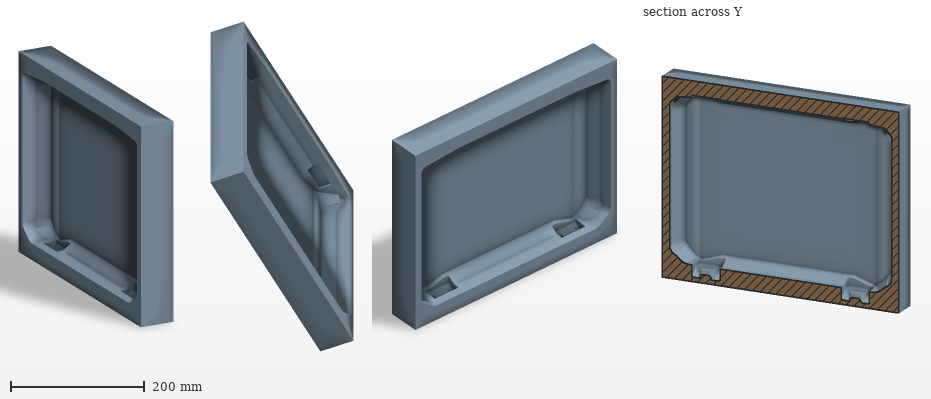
import cadquery as cq
import math

WIDTH = 393.5
THICKNESS = 54.5
HEIGHT = 317.0
FRONT_Y = -THICKNESS / 2

MOUTH_HALF_WIDTH = 184.5
MOUTH_BOTTOM = -132.2
MOUTH_TOP = 135.0
MOUTH_TOP_HALF_FLAT = 114.0
MOUTH_TOP_SHOULDER = 129.0
MOUTH_CORNER_Z = -113.7
MOUTH_BOTTOM_HALF_FLAT = 159.8
MOUTH_DRAFT = 3.0
BOTTOM_FILLET = 19.5
LOWER_SIDE_FILLET = 12.0
UPPER_SIDE_FILLET = 8.0

FLOOR_DEPTH = 42.5
BANK_ANGLE = 34.0
BANK_RISE = math.tan(math.radians(BANK_ANGLE))
MID_Z = 0.8
FLOOR_HALF_WIDTH = 170.0
FLOOR_SIDE_HALF_HEIGHT = 105.5
FLOOR_THROAT_X = 144.5
FLOOR_THROAT_HALF_HEIGHT = 130.5
FLOOR_BANK_X = 110.0
FLOOR_BANK_HALF_HEIGHT = 119.5
FLOOR_CORNER_FILLET = 6.5
FLOOR_EDGE_FILLET = 1.0
LEDGE_FILLET = 2.5

RIDGE_FOOT_X = 146.0
RIDGE_FOOT_BLEND = 1.0
RIDGE_SHOULDER_X = 151.5
RIDGE_SHOULDER_DEPTH = 40.5
RIDGE_CREST_X = 156.5
RIDGE_CREST_DEPTH = 39.7
RIDGE_OUTER_X = 173.0
RIDGE_OUTER_DEPTH = 41.5

WEDGE_HINGE = 3.5
WEDGE_REACH = 15.7
WEDGE_THICKNESS = 7.0
WEDGE_START = 6.0
WEDGE_END = 32.3

NOTCH_INNER_X = 100.7
NOTCH_OUTER_X = 147.0
NOTCH_FRONT_DEPTH = 14.0
LOWER_NOTCH_DEPTH = 37.8
UPPER_NOTCH_DEPTH = 34.0
NOTCH_REACH = 15.7
NOTCH_CORNER_FILLET = 2.5

POCKET_BACK_Z = -135.8
BOSS_INNER_X = 111.7
BOSS_OUTER_X = 137.0
BOSS_FRONT_DEPTH = 16.5
BOSS_BACK_DEPTH = 33.0
BOSS_TOP_Z = -139.0
BOSS_CORNER_RADIUS = 7.0
BOSS_DRAFT = 10.0


def plane_at(depth):
    """XZ workplane facing the opening, at a depth below the front face."""
    return cq.Workplane("XZ", origin=(0, FRONT_Y + depth, 0))


def both_sides(shape):
    """Join a shape on the +X side with its mirror image."""
    return shape.union(shape.mirror("YZ"))


def mirrored_loop(right_side):
    """Close a right-hand chain of (x, z) points with its mirror image."""
    left_side = [(-x, z) for x, z in reversed(right_side)]
    return right_side + left_side + right_side[:1]


def round_corners(sketch, z, radius):
    """Fillet the sketch corners that lie at height z."""
    level = cq.selectors.BoxSelector((-WIDTH, z - 0.5, -4), (WIDTH, z + 0.5, 4))
    return sketch.vertices(level).fillet(radius).reset()


def mouth_prism():
    """Drafted space inside the mouth outline, from the front face down to the floor."""
    outline = mirrored_loop([
        (MOUTH_BOTTOM_HALF_FLAT, MOUTH_BOTTOM),
        (MOUTH_HALF_WIDTH, MOUTH_CORNER_Z),
        (MOUTH_HALF_WIDTH, MOUTH_TOP_SHOULDER),
        (MOUTH_TOP_HALF_FLAT, MOUTH_TOP),
    ])
    sketch = cq.Sketch().polygon(outline).vertices("<Y").fillet(BOTTOM_FILLET).reset()
    sketch = round_corners(sketch, MOUTH_CORNER_Z, LOWER_SIDE_FILLET)
    sketch = round_corners(sketch, MOUTH_TOP_SHOULDER, UPPER_SIDE_FILLET)
    return plane_at(0).placeSketch(sketch).extrude(-FLOOR_DEPTH, taper=MOUTH_DRAFT)


def bank_funnel():
    """Space above the floor that widens toward the front between the banks."""
    upper = [
        (FLOOR_HALF_WIDTH, FLOOR_SIDE_HALF_HEIGHT),
        (FLOOR_THROAT_X, FLOOR_THROAT_HALF_HEIGHT),
        (FLOOR_BANK_X, FLOOR_BANK_HALF_HEIGHT),
    ]
    right = [(x, MID_Z - h) for x, h in reversed(upper)] + [(x, MID_Z + h) for x, h in upper]
    sketch = cq.Sketch().polygon(mirrored_loop(right))
    for z in (MID_Z - FLOOR_SIDE_HALF_HEIGHT, MID_Z + FLOOR_SIDE_HALF_HEIGHT):
        sketch = round_corners(sketch, z, FLOOR_CORNER_FILLET)
    funnel = plane_at(FLOOR_DEPTH).placeSketch(sketch).extrude(FLOOR_DEPTH, taper=-BANK_ANGLE)
    return funnel.faces(">Y").edges("|X").fillet(FLOOR_EDGE_FILLET)


def round_ledges(cavity):
    """Soften the long edges where the drafted walls turn into the lower and upper banks."""
    mid_depth = cq.selectors.BoxSelector(
        (-WIDTH, FRONT_Y + FLOOR_DEPTH / 4, -HEIGHT),
        (WIDTH, FRONT_Y + FLOOR_DEPTH * 3 / 4, HEIGHT),
    )
    return cavity.edges("|X").edges(mid_depth).fillet(LEDGE_FILLET)


def ridges():
    """Material of the two floor ridges, over the full height."""
    flank_run = RIDGE_SHOULDER_X - RIDGE_FOOT_X
    flank_rise = FLOOR_DEPTH - RIDGE_SHOULDER_DEPTH
    flank_angle = math.atan2(flank_rise, flank_run)
    blend_radius = RIDGE_FOOT_BLEND / math.tan(flank_angle / 2)
    blend_end_x = RIDGE_FOOT_X + RIDGE_FOOT_BLEND * math.cos(flank_angle)
    blend_end_depth = FLOOR_DEPTH - RIDGE_FOOT_BLEND * math.sin(flank_angle)
    ridge = (
        cq.Workplane("XY", origin=(0, FRONT_Y, 0))
        .moveTo(RIDGE_FOOT_X - RIDGE_FOOT_BLEND, FLOOR_DEPTH)
        .radiusArc((blend_end_x, blend_end_depth), blend_radius)
        .lineTo(RIDGE_SHOULDER_X, RIDGE_SHOULDER_DEPTH)
        .lineTo(RIDGE_CREST_X, RIDGE_CREST_DEPTH)
        .lineTo(RIDGE_OUTER_X, RIDGE_OUTER_DEPTH)
        .lineTo(RIDGE_OUTER_X, FLOOR_DEPTH)
        .close()
        .extrude(HEIGHT / 2, both=True)
    )
    return both_sides(ridge)


def corner_wedges():
    """Material of the wedges on the four diagonal corner banks."""
    run_x = FLOOR_THROAT_X - FLOOR_HALF_WIDTH
    run_z = FLOOR_SIDE_HALF_HEIGHT - FLOOR_THROAT_HALF_HEIGHT
    corner = cq.Vector(FLOOR_HALF_WIDTH, FRONT_Y + FLOOR_DEPTH, MID_Z - FLOOR_SIDE_HALF_HEIGHT)
    along = cq.Vector(run_x, 0, run_z).normalized()
    outward = cq.Vector(-run_z, 0, run_x).normalized()
    bank_height = WEDGE_REACH / BANK_RISE
    wedge = (
        cq.Workplane(cq.Plane(corner + along * WEDGE_START, outward, along))
        .moveTo(WEDGE_HINGE, WEDGE_HINGE / BANK_RISE)
        .lineTo(WEDGE_REACH, bank_height)
        .lineTo(WEDGE_REACH, bank_height + WEDGE_THICKNESS)
        .close()
        .extrude(WEDGE_END - WEDGE_START)
    )
    lower = both_sides(wedge)
    return lower.union(lower.mirror("XY", (0, 0, MID_Z)))


def side_profile(points):
    """Extrude (depth, z) points across the notch width on the +X side."""
    return (
        cq.Workplane("YZ", origin=(NOTCH_INNER_X, 0, 0))
        .polyline([(FRONT_Y + depth, z) for depth, z in points]).close()
        .extrude(NOTCH_OUTER_X - NOTCH_INNER_X)
    )


def upper_notches():
    """Box-shaped cuts at both ends of the upper bank."""
    notch = side_profile([
        (NOTCH_FRONT_DEPTH, MOUTH_TOP),
        (UPPER_NOTCH_DEPTH, MOUTH_TOP),
        (UPPER_NOTCH_DEPTH, MOUTH_TOP - NOTCH_REACH),
        (NOTCH_FRONT_DEPTH, MOUTH_TOP - NOTCH_REACH),
    ])
    return both_sides(notch)


def lower_notches():
    """Cuts at both ends of the lower bank, each leaving a boss in its pocket."""
    pocket_front_z = POCKET_BACK_Z - BANK_RISE * (LOWER_NOTCH_DEPTH - NOTCH_FRONT_DEPTH)
    notch = side_profile([
        (NOTCH_FRONT_DEPTH, pocket_front_z),
        (LOWER_NOTCH_DEPTH, POCKET_BACK_Z),
        (LOWER_NOTCH_DEPTH, MOUTH_BOTTOM + NOTCH_REACH),
        (NOTCH_FRONT_DEPTH, MOUTH_BOTTOM + NOTCH_REACH),
    ])
    back_edges = notch.faces(">Y").edges("|Z or <Z")
    floor_end_edges = notch.edges("not (|X or |Y or |Z)")
    notch = back_edges.add(floor_end_edges).fillet(NOTCH_CORNER_FILLET)
    boss_top = (
        cq.Sketch()
        .rect(BOSS_OUTER_X - BOSS_INNER_X, BOSS_BACK_DEPTH - BOSS_FRONT_DEPTH)
        .vertices().fillet(BOSS_CORNER_RADIUS)
    )
    boss_x = (BOSS_INNER_X + BOSS_OUTER_X) / 2
    boss_y = FRONT_Y + (BOSS_FRONT_DEPTH + BOSS_BACK_DEPTH) / 2
    boss = (
        cq.Workplane("XY", origin=(boss_x, boss_y, BOSS_TOP_Z))
        .placeSketch(boss_top)
        .extrude(pocket_front_z - BOSS_TOP_Z, taper=-BOSS_DRAFT)
    )
    return both_sides(notch.cut(boss))


block = cq.Workplane("XY").box(WIDTH, THICKNESS, HEIGHT)
cavity = round_ledges(mouth_prism().intersect(bank_funnel()))
cavity = cavity.cut(ridges()).cut(corner_wedges())
result = block.cut(cavity).cut(upper_notches()).cut(lower_notches())